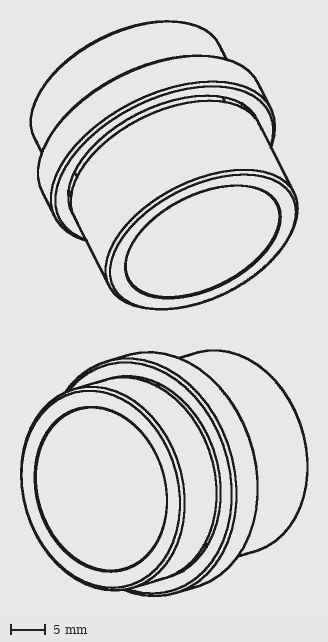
import cadquery as cq

length = 30.0
body_diameter = 30.0
bore_diameter = 24.0
collar_diameter = 35.0

collar_start = 9.0
collar_width = 6.02
collar_end = collar_start + collar_width

groove_radius = 0.5

outer_chamfer = 0.5
bore_chamfer = 0.15


def cylinder(start, width, diameter):
    """Solid cylinder along X, beginning at the plane x = start."""
    return cq.Workplane("YZ").workplane(offset=start).circle(diameter / 2).extrude(width)


def relief_groove(center_x):
    """Torus cutter that leaves a half-round groove in the body surface."""
    profile = cq.Workplane("XY").center(center_x, body_diameter / 2).circle(groove_radius)
    axis_start = (0, -body_diameter / 2)
    axis_end = (1, -body_diameter / 2)
    return profile.revolve(360, axis_start, axis_end)


body = cylinder(0, length, body_diameter).edges().chamfer(outer_chamfer)
for groove_center in (collar_start - groove_radius, collar_end + groove_radius):
    body = body.cut(relief_groove(groove_center))

collar = cylinder(collar_start, collar_width, collar_diameter).edges().chamfer(outer_chamfer)

bushing = body.union(collar).cut(cylinder(0, length, bore_diameter))
bore_rims = bushing.faces("<X or >X").edges(cq.selectors.RadiusNthSelector(0))
result = bore_rims.chamfer(bore_chamfer)